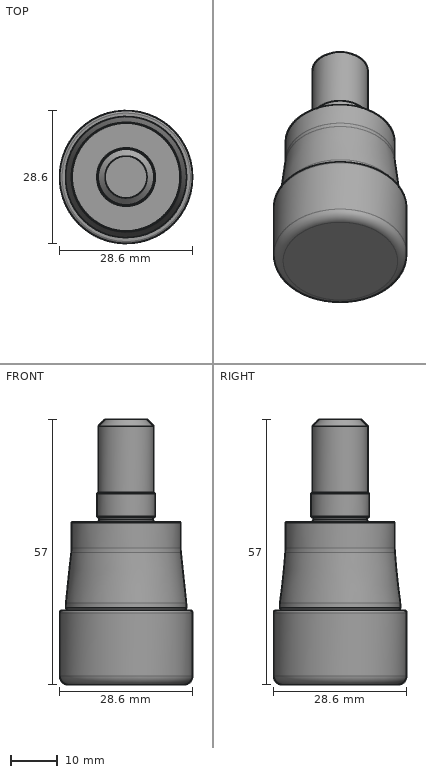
import cadquery as cq

total_height = 57.0

cup_radius = 14.28
cup_height = 16.0
cup_bottom_fillet = 2.0
cup_rim_fillet = 0.5
socket_floor = 2.0

socket_radius = 12.7
plug_base_radius = 13.0
plug_top_radius = 11.75
shoulder_height = 35.0
shoulder_chamfer = 0.15
taper_start = 17.65
base_blend_start = 16.6
taper_end = 28.45
top_blend_end = 29.45
taper_start_radius = 12.95
taper_end_radius = 11.8

stud_radius = 6.0
stud_tip_chamfer = 1.5
collar_radius = 6.25
collar_bottom = 35.85
collar_top = 41.3
collar_top_chamfer_height = 0.35
collar_bottom_chamfer = 0.3
neck_radius = 5.8
neck_flare = 0.4
neck_flare_width = 0.15


def make_cup():
    """Round cup with a rounded foot, a rounded rim and a plain socket."""
    cup = cq.Workplane("XY").circle(cup_radius).extrude(cup_height)
    cup = cup.faces("<Z").edges().fillet(cup_bottom_fillet)
    cup = cup.faces(">Z").edges().fillet(cup_rim_fillet)
    socket = (
        cq.Workplane("XY")
        .workplane(offset=socket_floor)
        .circle(socket_radius)
        .extrude(cup_height)
    )
    return cup.cut(socket)


def make_plug():
    """Tapered plug with its collared stud, revolved about Z."""
    taper_slope = (taper_end_radius - taper_start_radius) / (taper_end - taper_start)
    return (
        cq.Workplane("XZ")
        .moveTo(0, socket_floor)
        .lineTo(socket_radius, socket_floor)
        .lineTo(socket_radius, cup_height)
        .lineTo(plug_base_radius, base_blend_start)
        .spline(
            [(taper_start_radius, taper_start)],
            tangents=[(0, 1), (taper_slope, 1)],
            includeCurrent=True,
        )
        .lineTo(taper_end_radius, taper_end)
        .spline(
            [(plug_top_radius, top_blend_end)],
            tangents=[(taper_slope, 1), (0, 1)],
            includeCurrent=True,
        )
        .lineTo(plug_top_radius, shoulder_height - shoulder_chamfer)
        .lineTo(plug_top_radius - shoulder_chamfer, shoulder_height)
        .lineTo(neck_radius + neck_flare_width, shoulder_height)
        .lineTo(neck_radius, shoulder_height + neck_flare)
        .lineTo(neck_radius, collar_bottom)
        .lineTo(collar_radius - collar_bottom_chamfer, collar_bottom)
        .lineTo(collar_radius, collar_bottom + collar_bottom_chamfer)
        .lineTo(collar_radius, collar_top - collar_top_chamfer_height)
        .lineTo(stud_radius, collar_top)
        .lineTo(stud_radius, total_height - stud_tip_chamfer)
        .lineTo(stud_radius - stud_tip_chamfer, total_height)
        .lineTo(0, total_height)
        .close()
        .revolve(360, (0, 0, 0), (0, 1, 0))
    )


cup = make_cup()
plug = make_plug()
result = cq.Compound.makeCompound([cup.val(), plug.val()])